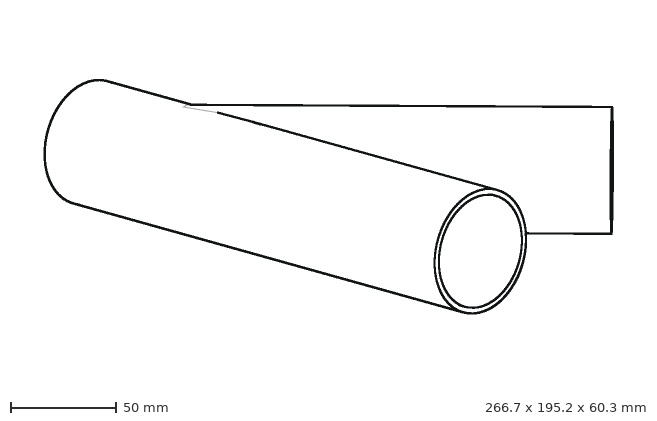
import cadquery as cq
import math

run_length = 266.7
outer_diameter = 60.3
bore_diameter = 54.7
branch_position = 63.5
branch_length = 203.2
branch_angle = 45.0

run_axis = cq.Workplane("YZ")
branch_direction = cq.Vector(
    math.cos(math.radians(branch_angle)),
    math.sin(math.radians(branch_angle)),
    0,
)
branch_axis = cq.Workplane(
    cq.Plane(origin=(branch_position, 0, 0), xDir=(0, 0, 1), normal=branch_direction)
)


def wye(diameter):
    """Straight run joined by an angled branch of the same diameter."""
    run = run_axis.circle(diameter / 2).extrude(run_length)
    branch = branch_axis.circle(diameter / 2).extrude(branch_length)
    return run.union(branch)


result = wye(outer_diameter).cut(wye(bore_diameter))